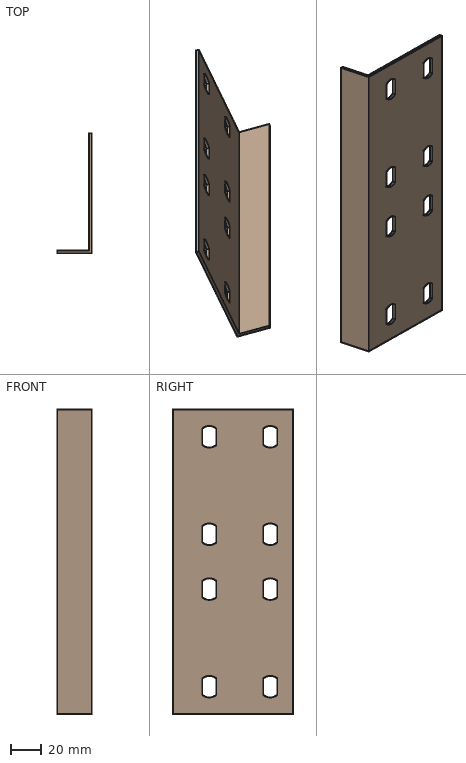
import cadquery as cq

flange_width = 22.92
web_width = 78.92
length = 200.0
thickness = 2.0

hole_diameter = 14.0
hole_flat_width = 9.0
hole_edge_distance = 15.0
hole_column_spacing = 40.0
hole_end_distance = 18.0
hole_row_spacing = 64.0

right = flange_width / 2
left = -right
back = web_width / 2
front = -back


def bent_sheet():
    """L-shaped sheet: flange along X at the front, web along Y at the right."""
    outline = [
        (left, front),
        (right, front),
        (right, back),
        (right - thickness, back),
        (right - thickness, front + thickness),
        (left, front + thickness),
    ]
    return cq.Workplane("XY").polyline(outline).close().extrude(length / 2, both=True)


def double_d_cutter(y, z):
    """Cutter through the web for one double-D hole centred at (y, z)."""
    depth = 2 * thickness
    centre = (right - thickness / 2, y, z)
    disc = cq.Workplane("YZ").circle(hole_diameter / 2).extrude(depth / 2, both=True)
    flats = cq.Workplane("XY").box(depth, hole_flat_width, hole_diameter)
    return disc.intersect(flats).translate(centre)


def hole_positions():
    """Two columns of holes, each with a pair of rows near either end."""
    outer_column = back - hole_edge_distance
    outer_row = length / 2 - hole_end_distance
    inner_row = outer_row - hole_row_spacing
    columns = (outer_column, outer_column - hole_column_spacing)
    rows = (-outer_row, -inner_row, inner_row, outer_row)
    return [(y, z) for y in columns for z in rows]


result = bent_sheet()
for hole_y, hole_z in hole_positions():
    result = result.cut(double_d_cutter(hole_y, hole_z))